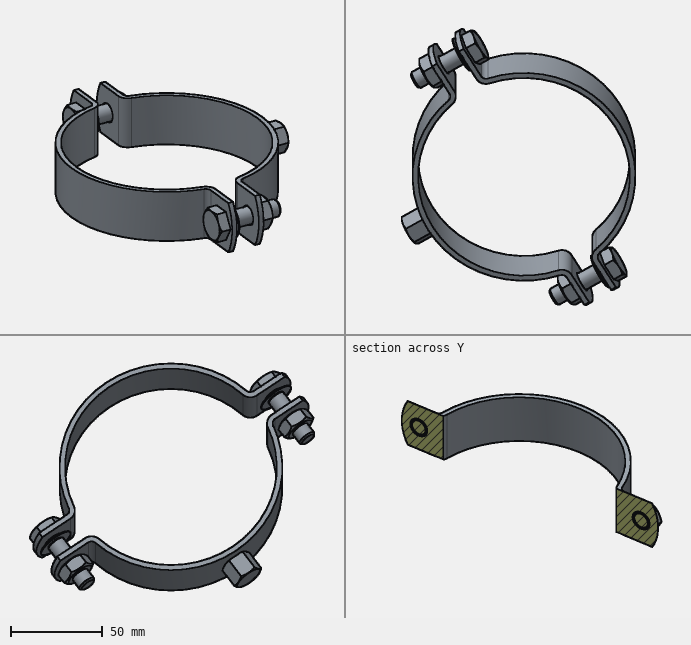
import cadquery as cq
import math

band_width = 30.0
band_thickness = 3.0
ring_outer_radius = 60.8
ring_inner_radius = ring_outer_radius - band_thickness
half_gap = 7.0
bend_inner_radius = 3.0
bend_outer_radius = bend_inner_radius + band_thickness
overall_length = 170.4
ear_end_radius = 30.0
ear_back = half_gap + band_thickness

bolt_x = 73.8
ear_hole_diameter = 11.0
thread_diameter = 10.0
neck_diameter = 9.2
tip_diameter = 8.3
tip_chamfer = 1.0
bolt_tip_y = 25.4
thread_start_y = -5.5
clamp_across_flats = 17.0
head_height = 6.3
head_face_diameter = clamp_across_flats
nut_height = 8.0
nut_face_diameter = 15.3

washer_diameter = 20.0
washer_thickness = 0.5
washer_y = -5.0

crown_nut_top = 73.1
crown_nut_across_flats = 15.7
crown_nut_face_diameter = 15.3
crown_nut_sink = 0.5

hex_half_angle = math.radians(30)
chamfer_slope = math.tan(math.radians(30))


def cylinder_y(diameter, start, end):
    """Cylinder about the Y axis."""
    return cq.Workplane("XZ", origin=(0, start, 0)).circle(diameter / 2).extrude(start - end)


def hexagon_y(across_flats, start, end, start_face=None, end_face=None):
    """Hexagonal prism along Y with corners on X.

    An end given a face diameter has its corners cut by a 30 degree cone down to that diameter.
    """
    across_corners = across_flats / math.cos(hex_half_angle)
    corner = across_corners / 2
    prism = cq.Workplane("XZ", origin=(0, start, 0)).polygon(6, across_corners).extrude(start - end)

    def end_profile(face_diameter, y, inward):
        if face_diameter is None:
            return [(corner, y)]
        cone_height = (corner - face_diameter / 2) * chamfer_slope
        return [(face_diameter / 2, y), (corner, y + inward * cone_height)]

    start_profile = end_profile(start_face, start, 1)
    finish_profile = end_profile(end_face, end, -1)[::-1]
    profile = [(0, start)] + start_profile + finish_profile + [(0, end)]
    envelope = cq.Workplane("XY").polyline(profile).close().revolve(360, (0, 0), (0, 1))
    return prism.intersect(envelope)


def half_band():
    """Upper half of the clamp: half ring, two bends and two ears with rounded ends and bolt holes."""
    bend_y = ear_back + bend_inner_radius
    bend_x = math.sqrt((ring_outer_radius + bend_inner_radius) ** 2 - bend_y ** 2)
    ring_angle = math.atan2(bend_y, bend_x)
    mid_angle = (ring_angle + math.pi / 2) / 2
    ear_x = overall_length / 2

    def on_ring(radius, side):
        return (side * radius * math.cos(ring_angle), radius * math.sin(ring_angle))

    def on_bend(radius, side):
        return (side * (bend_x - radius * math.cos(mid_angle)), bend_y - radius * math.sin(mid_angle))

    outline = (
        cq.Workplane("XY", origin=(0, 0, -band_width / 2))
        .moveTo(-ear_x, half_gap)
        .lineTo(-bend_x, half_gap)
        .threePointArc(on_bend(bend_outer_radius, -1), on_ring(ring_inner_radius, -1))
        .threePointArc((0, ring_inner_radius), on_ring(ring_inner_radius, 1))
        .threePointArc(on_bend(bend_outer_radius, 1), (bend_x, half_gap))
        .lineTo(ear_x, half_gap)
        .lineTo(ear_x, ear_back)
        .lineTo(bend_x, ear_back)
        .threePointArc(on_bend(bend_inner_radius, 1), on_ring(ring_outer_radius, 1))
        .threePointArc((0, ring_outer_radius), on_ring(ring_outer_radius, -1))
        .threePointArc(on_bend(bend_inner_radius, -1), (-bend_x, ear_back))
        .lineTo(-ear_x, ear_back)
        .close()
    )
    band = outline.extrude(band_width)

    end_sagitta = ear_end_radius - math.sqrt(ear_end_radius ** 2 - (band_width / 2) ** 2)
    corner_x = ear_x - end_sagitta
    rounded_ends = (
        cq.Workplane("XZ")
        .moveTo(-corner_x, -band_width / 2)
        .lineTo(corner_x, -band_width / 2)
        .threePointArc((ear_x, 0), (corner_x, band_width / 2))
        .lineTo(-corner_x, band_width / 2)
        .threePointArc((-ear_x, 0), (-corner_x, -band_width / 2))
        .close()
        .extrude(-ring_outer_radius)
    )
    band = band.intersect(rounded_ends)
    for side in (-1, 1):
        hole = cylinder_y(ear_hole_diameter, half_gap, ear_back)
        band = band.cut(hole.translate((side * bolt_x, 0, 0)))
    return band


def bolt_set():
    """Bolt with its head, nut and retaining washer, about the Y axis."""
    head = hexagon_y(clamp_across_flats, -ear_back - head_height, -ear_back, start_face=head_face_diameter)
    neck = cylinder_y(neck_diameter, -ear_back, thread_start_y)
    tip_inset = (thread_diameter - tip_diameter) / 2
    thread = cylinder_y(thread_diameter, thread_start_y, bolt_tip_y)
    thread = thread.faces(">Y").chamfer(tip_chamfer, tip_inset)
    washer = cylinder_y(washer_diameter, washer_y, washer_y + washer_thickness)
    nut = hexagon_y(
        clamp_across_flats, ear_back, ear_back + nut_height, nut_face_diameter, nut_face_diameter
    )
    return head.union(neck).union(thread).union(washer).union(nut)


def crown_nut():
    """Nut whose chamfered base is sunk slightly into the band at the crown."""
    base_y = ring_outer_radius - crown_nut_sink
    return hexagon_y(
        crown_nut_across_flats, base_y, crown_nut_top, crown_nut_face_diameter, crown_nut_face_diameter
    )


upper_band = half_band()
lower_band = upper_band.mirror("XZ")
result = upper_band.union(lower_band).union(crown_nut())
for bolt_side in (-1, 1):
    result = result.union(bolt_set().translate((bolt_side * bolt_x, 0, 0)))